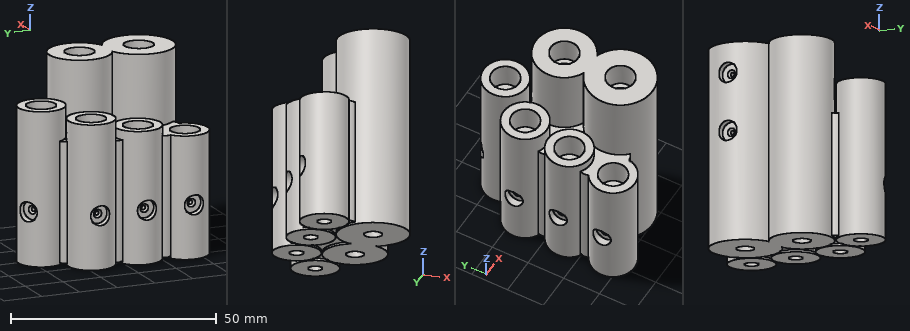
import cadquery as cq
import math


total_height = 49.7
small_radius = 6.0
lower_height = 31.2
front_big_radius = 9.0
rear_big_radius = 8.0

row_x = -13.9
row_pitch = 12.35
first_small = (-14.1, -6.05)
second_small = (row_x, first_small[1] + row_pitch)
third_small = (row_x, second_small[1] + row_pitch)
fourth_small = (-6.3, 28.6)
front_big = (0.0, 0.0)
rear_big = (0.0, 15.7)

small_bore = 1.75
big_bore = 2.25
pipes = [
    (first_small, small_radius, lower_height, small_bore),
    (second_small, small_radius, 33.7, small_bore),
    (third_small, small_radius, 36.7, small_bore),
    (fourth_small, small_radius, 39.2, small_bore),
    (front_big, front_big_radius, total_height, big_bore),
    (rear_big, rear_big_radius, total_height, big_bore),
]

socket_floor_radius = 3.6
socket_mouth_radius = 3.75
socket_depth = 6.45

web_bottom = 0.55
narrow_post_radius = 3.0
wide_post_radius = 3.5

recess_radius = 2.5
recess_depth = 2.1
cone_radius = 1.05
fine_hole_radius = 0.5
cone_depth = cone_radius - fine_hole_radius
small_port_height = 13.7
big_port_heights = (27.6, 42.2)
toward_minus_x = 180.0
toward_plus_x = 0.0
fourth_port_angle = 123.0


def cylinder(axis, radius, bottom, top):
    return cq.Workplane("XY", origin=(*axis, bottom)).circle(radius).extrude(top - bottom)


def gap_middle(axis_a, radius_a, axis_b, radius_b):
    """Point halfway across the gap between two neighbouring pipes."""
    distance = math.dist(axis_a, axis_b)
    share = (distance + radius_a - radius_b) / (2 * distance)
    return tuple(a + share * (b - a) for a, b in zip(axis_a, axis_b))


def web():
    """Plate spanning the pipe axes, with a round post closing each outer gap."""
    axes = [first_small, second_small, third_small, fourth_small, rear_big, front_big]
    body = (
        cq.Workplane("XY", origin=(0, 0, web_bottom))
        .polyline(axes)
        .close()
        .extrude(lower_height - web_bottom)
    )
    posts = [
        (first_small, small_radius, second_small, small_radius, wide_post_radius),
        (second_small, small_radius, third_small, small_radius, narrow_post_radius),
        (third_small, small_radius, fourth_small, small_radius, narrow_post_radius),
        (fourth_small, small_radius, rear_big, rear_big_radius, narrow_post_radius),
        (front_big, front_big_radius, first_small, small_radius, wide_post_radius),
    ]
    for axis_a, radius_a, axis_b, radius_b, post_radius in posts:
        middle = gap_middle(axis_a, radius_a, axis_b, radius_b)
        body = body.union(cylinder(middle, post_radius, web_bottom, lower_height))
    return body


def bore(axis, height, bore_radius):
    """Stepped passage of one pipe, turned as a single profile about the pipe axis."""
    socket_floor = height - socket_depth
    return (
        cq.Workplane("XZ")
        .polyline([
            (0, 0),
            (bore_radius, 0),
            (bore_radius, socket_floor),
            (socket_floor_radius, socket_floor),
            (socket_mouth_radius, height),
            (0, height),
        ])
        .close()
        .revolve(360, (0, 0), (0, 1))
        .translate((*axis, 0))
    )


def port(axis, outer_radius, height, angle):
    """Side port from outside a pipe to its axis, pointing outward at the given angle from +X."""
    recess_floor = outer_radius - recess_depth
    cone_end = recess_floor - cone_depth
    return (
        cq.Workplane("XY")
        .polyline([
            (0, 0),
            (0, fine_hole_radius),
            (cone_end, fine_hole_radius),
            (recess_floor, cone_radius),
            (recess_floor, recess_radius),
            (outer_radius, recess_radius),
            (outer_radius, 0),
        ])
        .close()
        .revolve(360, (0, 0), (1, 0))
        .rotate((0, 0, 0), (0, 0, 1), angle)
        .translate((*axis, height))
    )


result = web()
for axis, outer_radius, height, bore_radius in pipes:
    result = result.union(cylinder(axis, outer_radius, 0, height))

for axis, outer_radius, height, bore_radius in pipes:
    result = result.cut(bore(axis, height, bore_radius))

for axis in (first_small, second_small, third_small):
    result = result.cut(port(axis, small_radius, small_port_height, toward_minus_x))
result = result.cut(port(fourth_small, small_radius, small_port_height, fourth_port_angle))
for height in big_port_heights:
    result = result.cut(port(front_big, front_big_radius, height, toward_plus_x))